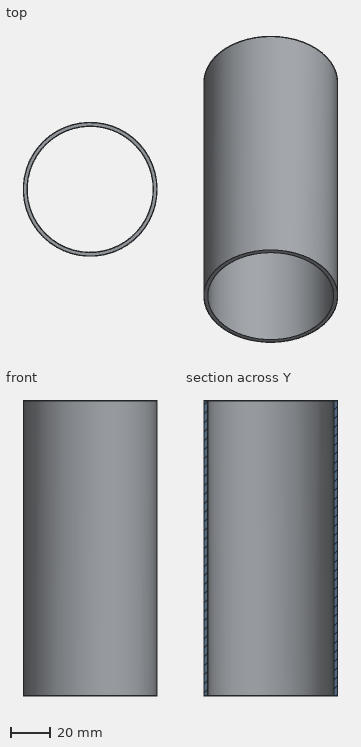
import cadquery as cq

outer_diameter = 68.0
wall_thickness = 2.0
length = 150.0

inner_diameter = outer_diameter - 2 * wall_thickness


def make_tube():
    """Straight tube along Z, open at both ends, standing on the XY plane."""
    ring = cq.Workplane("XY").circle(outer_diameter / 2).circle(inner_diameter / 2)
    return ring.extrude(length)


result = make_tube()